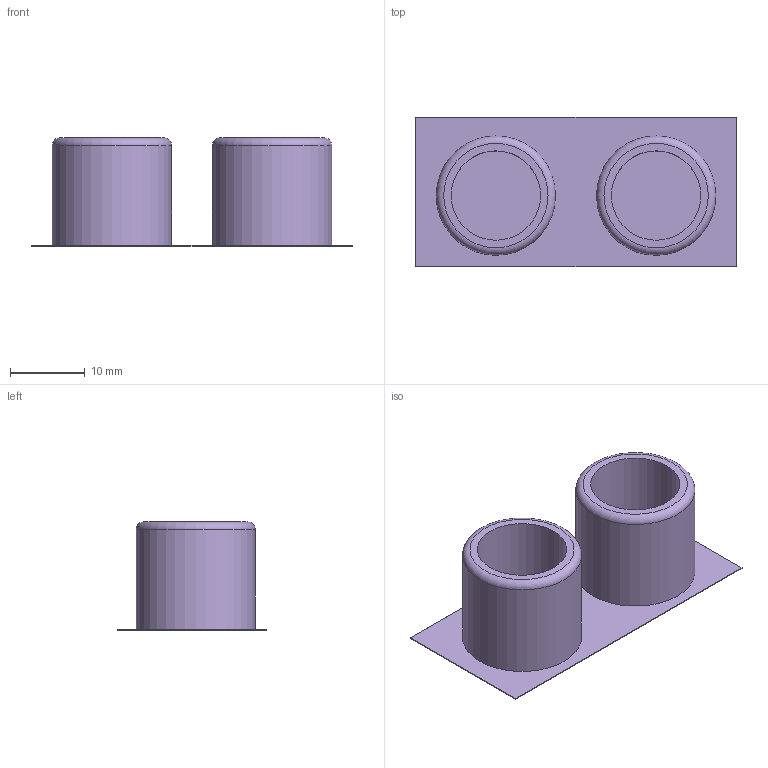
import cadquery as cq

plate_length = 43.0
plate_width = 20.0
plate_thickness = 0.1

overall_height = 14.5
socket_outer_diameter = 16.0
socket_bore_diameter = 12.0
socket_rim_radius = 1.0
socket_pitch = plate_length / 2
socket_offset_y = -0.5
socket_height = overall_height - plate_thickness


def make_plate():
    """Thin rectangular plate resting on Z = 0."""
    return cq.Workplane("XY").box(
        plate_length, plate_width, plate_thickness, centered=(True, True, False)
    )


def make_socket(center_x):
    """Tube with a rounded outer top edge; the plate closes its lower end."""
    body = (
        cq.Workplane("XY", origin=(center_x, socket_offset_y, plate_thickness))
        .circle(socket_outer_diameter / 2)
        .extrude(socket_height)
        .faces(">Z")
        .edges()
        .fillet(socket_rim_radius)
    )
    bore = (
        cq.Workplane("XY", origin=(center_x, socket_offset_y, plate_thickness))
        .circle(socket_bore_diameter / 2)
        .extrude(socket_height)
    )
    return body.cut(bore)


result = make_plate()
for side in (-1, 1):
    result = result.union(make_socket(side * socket_pitch / 2))